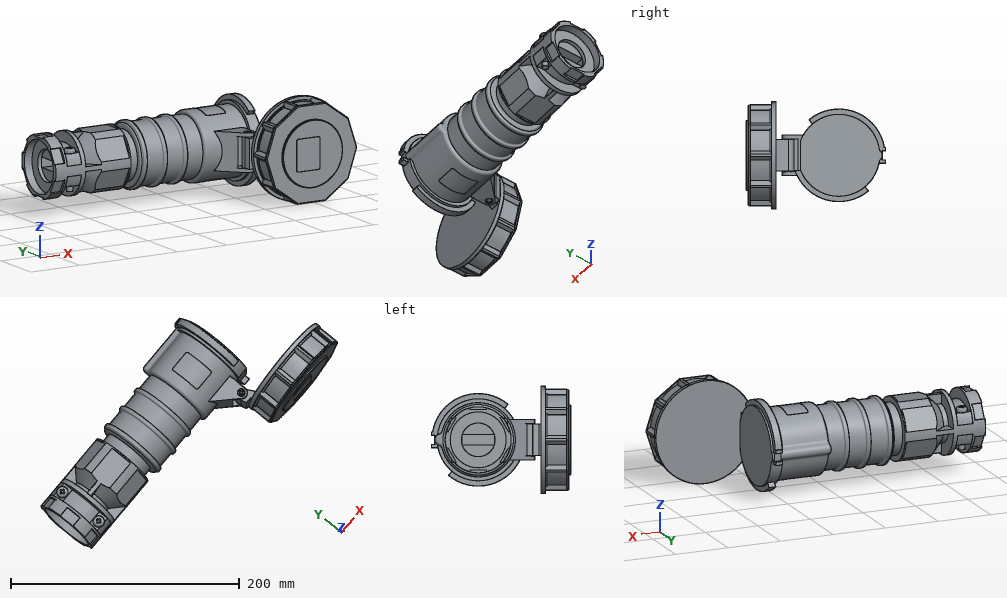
import cadquery as cq
import math


gland_length = 76.6
gland_radius = 29.0
entry_radius, entry_depth = 24.5, 7.8
cable_radius, cable_depth = 14.7, 11.5
slit_height, slit_width = 9.5, 28.3
pocket_count = 6
pocket_length, pocket_floor_radius, pocket_width = 9.7, 26.5, 14.5
clamp_start, clamp_end = 12.0, 26.5
clamp_relief = 0.3
window_half_height = 4.7
pad_height = 14.7
strap_half_width, strap_crown = 15.3, 19.0
waist_start, waist_cone_start, waist_cone_end = 30.5, 35.3, 46.7
waist_radius = 18.0
rib_width = 4.2
flat_count = 6
flat_apothem = 27.0
flat_end = 75.3

screw_x = (clamp_start + clamp_end) / 2
screw_y = 20.5
shank_radius = 2.8
head_radius, head_height, head_round = 5.0, 4.2, 2.2
shank_tip_z = -19.7
cross_length, cross_width, cross_depth = 4.5, 1.5, 1.7

neck_end, neck_radius = 86.5, 23.5
grip_end, grip_radius = 150.0, 29.0
grip_round = 1.7
first_ring_x, ring_pitch, ring_count = 90.8, 20.5, 3
ring_half_width, ring_crest_round, ring_cove = 2.0, 0.8, 1.0

socket_end, socket_radius, socket_round = 207.0, 32.5, 2.8
rim_start, rim_radius = 196.0, 35.8
rim_flat_y = -33.3
lug_start, lug_end, lug_radius = 198.5, 205.0, 40.5
lug_first_angle, lug_last_angle = 10, 130
key_radius, key_center_y, key_blend = 5.0, 33.0, 4.2
horn_top_y, horn_width, horn_gap = 40.8, 14.0, 7.8
label_x, label_length, label_width = 172.5, 20.5, 28.5
label_round, label_depth = 1.7, 0.15

pin_x, pin_y = 186.5, -44.2
pin_radius = 2.2
pin_recess_radius, pin_recess_depth = 3.3, 1.0
pin_hex_sides, pin_hex_size, pin_hex_depth = 6, 2.5, 1.5
bracket_radius = 5.3
bracket_width = 35.5
clevis_width, clevis_start_x, clevis_floor_y = 28.3, 177.5, -35.5

lid_x = 230.8
lid_top_y = -54.7
flange_thickness, flange_radius = 4.0, 47.0
lid_body_end_y = -79.1
lid_panel_radius = 42.8
lid_collar_length, lid_collar_radius = 1.7, 44.0
lid_rib_count, lid_rib_radius = 10, 46.5
lid_rib_crest_width, lid_rib_foot_width = 2.2, 7.8
lid_face_thickness, lid_face_chamfer = 2.2, 0.8
boss_end_y, boss_radius, boss_chamfer = -81.0, 30.5, 0.5
badge_x, badge_length, badge_height = 226.3, 23.5, 29.5
badge_round, badge_depth = 1.7, 0.5
arm_width = 27.8
knuckle_radius = 5.0
arm_foot_start_x, arm_foot_end_x = 188.5, 197.0
arm_heel_x, arm_heel_y = 183.0, -53.0
arm_back_x, arm_back_y = 181.5, -48.0


def x_cylinder(radius, start, end):
    return cq.Workplane("YZ", origin=(start, 0, 0)).circle(radius).extrude(end - start)


def x_box(start, end, width, height, y=0, z=0):
    """Box from start to end along X, centred on y and z."""
    return cq.Workplane("YZ", origin=(start, y, z)).rect(width, height).extrude(end - start)


def z_cylinder(x, y, radius, bottom, top):
    return cq.Workplane("XY", origin=(x, y, bottom)).circle(radius).extrude(top - bottom)


def turned(profile):
    """Revolve an (X, radius) outline about the X axis."""
    return profile.close().revolve(360, (0, 0, 0), (1, 0, 0))


def make_clamp_section():
    """Cable clamp: flat screw pads on either side of an arched strap, above and below."""
    outer = 2 * gland_radius
    outline = (
        cq.Workplane("YZ", origin=(clamp_start, 0, 0))
        .moveTo(-outer, pad_height)
        .lineTo(-strap_half_width, pad_height)
        .threePointArc((0, strap_crown), (strap_half_width, pad_height))
        .lineTo(outer, pad_height)
        .lineTo(outer, -pad_height)
        .lineTo(strap_half_width, -pad_height)
        .threePointArc((0, -strap_crown), (-strap_half_width, -pad_height))
        .lineTo(-outer, -pad_height)
        .close()
        .extrude(clamp_end - clamp_start)
    )
    round_bar = x_cylinder(gland_radius - clamp_relief, clamp_start, clamp_end)
    rail = x_box(clamp_start, clamp_end, outer, 2 * window_half_height)
    rail = rail.intersect(x_cylinder(gland_radius, clamp_start, clamp_end))
    return outline.intersect(round_bar).union(rail)


def make_waist():
    """Waist with a cone behind it and four ribs, running into the wrench flats."""
    waist = turned(
        cq.Workplane("XY")
        .moveTo(waist_start, 0)
        .lineTo(waist_start, waist_radius)
        .lineTo(waist_cone_start, waist_radius)
        .lineTo(waist_cone_end, gland_radius)
        .lineTo(gland_length, gland_radius)
        .lineTo(gland_length, 0)
    )
    full_round = x_cylinder(gland_radius, waist_start, waist_cone_end)
    for width, height in ((2 * gland_radius, rib_width), (rib_width, 2 * gland_radius)):
        rib = x_box(waist_start, waist_cone_end, width, height)
        waist = waist.union(rib.intersect(full_round))
    hexagon = cq.Workplane("YZ", origin=(waist_start, 0, 0)).polygon(
        flat_count, 2 * flat_apothem, circumscribed=True
    )
    hexagon = hexagon.extrude(flat_end - waist_start).rotate((0, 0, 0), (1, 0, 0), 180 / flat_count)
    end_band = x_cylinder(gland_radius, flat_end, gland_length)
    return waist.intersect(hexagon.union(end_band))


def make_gland():
    gland = x_cylinder(gland_radius, 0, clamp_start)
    pocket_depth = gland_radius - pocket_floor_radius
    for index in range(pocket_count):
        pocket = x_box(0, pocket_length, pocket_width, 2 * pocket_depth, z=gland_radius)
        pocket = pocket.cut(x_cylinder(pocket_floor_radius, 0, pocket_length))
        gland = gland.cut(pocket.rotate((0, 0, 0), (1, 0, 0), index * 360 / pocket_count))
    gland = gland.union(make_clamp_section())
    gland = gland.union(x_cylinder(gland_radius, clamp_end, waist_start))
    gland = gland.union(make_waist())
    gland = gland.cut(x_cylinder(entry_radius, 0, entry_depth))
    gland = gland.cut(x_cylinder(cable_radius, 0, cable_depth))
    gland = gland.cut(x_box(cable_depth, gland_length, slit_width, slit_height))
    for side in (-1, 1):
        gland = gland.cut(z_cylinder(screw_x, side * screw_y, shank_radius, shank_tip_z, pad_height))
    return gland


def make_screw(y):
    head_top = pad_height + head_height
    head = z_cylinder(screw_x, y, head_radius, pad_height, head_top)
    head = head.faces(">Z").edges().fillet(head_round)
    bar = cq.Workplane("XY", origin=(screw_x, y, head_top)).rect(cross_length, cross_width)
    bar = bar.extrude(-cross_depth)
    cross = bar.union(bar.rotate((screw_x, y, 0), (screw_x, y, 1), 90))
    shank = z_cylinder(screw_x, y, shank_radius, shank_tip_z, pad_height)
    return head.cut(cross).union(shank)


def quarter_arc(profile, center, radius, start_angle, turn):
    """Add a quarter arc about center that runs from start_angle by turn degrees."""
    points = []
    for angle in (start_angle + turn / 2, start_angle + turn):
        radians = math.radians(angle)
        points.append((center[0] + radius * math.cos(radians), center[1] + radius * math.sin(radians)))
    return profile.threePointArc(*points)


def make_grip_ring(ring_x):
    """Raised ring with a rounded crest and a cove on each side."""
    shoulder = grip_radius + ring_cove
    crest_half_width = ring_half_width - ring_crest_round
    foot_half_width = ring_half_width + ring_cove
    profile = cq.Workplane("XY").moveTo(ring_x - foot_half_width, neck_radius)
    profile = profile.lineTo(ring_x - foot_half_width, grip_radius)
    profile = quarter_arc(profile, (ring_x - foot_half_width, shoulder), ring_cove, -90, 90)
    profile = quarter_arc(profile, (ring_x - crest_half_width, shoulder), ring_crest_round, 180, -90)
    profile = profile.lineTo(ring_x + crest_half_width, shoulder + ring_crest_round)
    profile = quarter_arc(profile, (ring_x + crest_half_width, shoulder), ring_crest_round, 90, -90)
    profile = quarter_arc(profile, (ring_x + foot_half_width, shoulder), ring_cove, 180, 90)
    return turned(profile.lineTo(ring_x + foot_half_width, neck_radius))


def make_grip():
    sleeve = x_cylinder(grip_radius, neck_end, grip_end).faces("<X").edges().fillet(grip_round)
    grip = x_cylinder(neck_radius, gland_length, neck_end).union(sleeve)
    for index in range(ring_count):
        grip = grip.union(make_grip_ring(first_ring_x + index * ring_pitch))
    return grip


def make_lug():
    """Bayonet lug: a sector of the lug ring between two angles measured from +Y."""
    reach = 2 * lug_radius
    middle_angle = (lug_first_angle + lug_last_angle) / 2
    corners = [
        (reach * math.cos(math.radians(angle)), reach * math.sin(math.radians(angle)))
        for angle in (lug_first_angle, middle_angle, lug_last_angle)
    ]
    wedge = (
        cq.Workplane("YZ", origin=(lug_start, 0, 0))
        .polyline([(0, 0), *corners])
        .close()
        .extrude(lug_end - lug_start)
    )
    return wedge.intersect(x_cylinder(lug_radius, lug_start, lug_end))


def make_rim():
    """Rim with two bayonet lugs, flattened on the hinge side."""
    lug = make_lug()
    rim = x_cylinder(rim_radius, rim_start, socket_end)
    rim = rim.union(lug).union(lug.rotate((0, 0, 0), (1, 0, 0), 180))
    flat_half_height = math.sqrt(rim_radius**2 - rim_flat_y**2)
    hinge_side = x_box(rim_start, socket_end, rim_radius, 2 * flat_half_height, y=rim_flat_y - rim_radius / 2)
    return rim.cut(hinge_side)


def make_barrel():
    """Round barrel with a key along its +Y side, blended in by two concave arcs."""
    to_blend = socket_radius + key_blend
    key_to_blend = key_radius + key_blend
    blend_y = (to_blend**2 + key_center_y**2 - key_to_blend**2) / (2 * key_center_y)
    blend_z = math.sqrt(to_blend**2 - blend_y**2)
    barrel_y = blend_y * socket_radius / to_blend
    barrel_z = blend_z * socket_radius / to_blend
    key_y = key_center_y + (blend_y - key_center_y) * key_radius / key_to_blend
    key_z = blend_z * key_radius / key_to_blend
    chord_y = (barrel_y + key_y) / 2 - blend_y
    chord_z = (barrel_z + key_z) / 2 - blend_z
    chord_reach = math.hypot(chord_y, chord_z)
    middle_y = blend_y + key_blend * chord_y / chord_reach
    middle_z = blend_z + key_blend * chord_z / chord_reach
    barrel = (
        cq.Workplane("YZ", origin=(grip_end, 0, 0))
        .moveTo(barrel_y, barrel_z)
        .threePointArc((-socket_radius, 0), (barrel_y, -barrel_z))
        .threePointArc((middle_y, -middle_z), (key_y, -key_z))
        .threePointArc((key_center_y + key_radius, 0), (key_y, key_z))
        .threePointArc((middle_y, middle_z), (barrel_y, barrel_z))
        .close()
        .extrude(socket_end - grip_end)
    )
    return barrel.faces("<X").edges().fillet(socket_round)


def make_horns():
    """Two horns on the key at the rim, with a groove between them."""
    height = horn_top_y - key_center_y
    middle_y = key_center_y + height / 2
    horns = x_box(lug_start, lug_end, height, horn_width, y=middle_y)
    gap_height = height - key_radius
    groove = x_box(lug_start, lug_end, gap_height, horn_gap, y=horn_top_y - gap_height / 2)
    return horns.cut(groove)


def make_bracket():
    """Triangular hinge bracket with a back slanted at 45 degrees, tangent to its round end."""
    root_y = -socket_radius / 2

    def on_round_end(angle):
        radians = math.radians(angle)
        return pin_x + bracket_radius * math.cos(radians), pin_y + bracket_radius * math.sin(radians)

    front_angle, back_angle = 0, -135
    back_x, back_y = on_round_end(back_angle)
    return (
        cq.Workplane("XY", origin=(0, 0, -bracket_width / 2))
        .moveTo(pin_x + bracket_radius, root_y)
        .lineTo(*on_round_end(front_angle))
        .threePointArc(on_round_end((front_angle + back_angle) / 2), (back_x, back_y))
        .lineTo(back_x + back_y - root_y, root_y)
        .close()
        .extrude(bracket_width)
    )


def cut_hinge(socket):
    """Clevis slot for the lid arm, the pin hole and its recesses."""
    slot_end = pin_x + 2 * bracket_radius
    slot_bottom = pin_y - 2 * bracket_radius
    slot = x_box(
        clevis_start_x,
        slot_end,
        clevis_floor_y - slot_bottom,
        clevis_width,
        y=(clevis_floor_y + slot_bottom) / 2,
    )
    half = bracket_width / 2
    socket = socket.cut(slot).cut(z_cylinder(pin_x, pin_y, pin_radius, -half, half))
    for low in (-half, half - pin_recess_depth):
        socket = socket.cut(z_cylinder(pin_x, pin_y, pin_recess_radius, low, low + pin_recess_depth))
    return socket


def cut_labels(socket):
    """Shallow label fields on the top and underside of the barrel."""
    field = cq.Workplane("XY", origin=(label_x, 0, -rim_radius)).rect(label_length, label_width)
    field = field.extrude(2 * rim_radius).edges("|Z").fillet(label_round)
    field = field.cut(x_cylinder(socket_radius - label_depth, grip_end, socket_end))
    return socket.cut(field)


def make_socket():
    socket = cut_labels(make_barrel())
    socket = socket.union(make_horns()).union(make_rim()).union(make_bracket())
    return cut_hinge(socket)


def make_hinge_pin():
    half = bracket_width / 2 - pin_recess_depth
    pin = z_cylinder(pin_x, pin_y, pin_radius, -half, half)
    hex_socket = cq.Workplane("XY", origin=(pin_x, pin_y, half)).polygon(pin_hex_sides, pin_hex_size)
    return pin.cut(hex_socket.extrude(-pin_hex_depth))


def lid_plane(y):
    """Plane facing -Y, centred on the lid axis."""
    return cq.Workplane("XZ", origin=(lid_x, y, 0))


def make_lid_arm():
    """Arm from the knuckle around the hinge pin to the lid flange."""
    arm = (
        cq.Workplane("XY", origin=(0, 0, -arm_width / 2))
        .polyline(
            [
                (pin_x, pin_y),
                (pin_x + knuckle_radius, pin_y),
                (arm_foot_end_x, lid_top_y),
                (arm_foot_start_x, lid_top_y),
                (arm_foot_start_x, arm_heel_y),
                (arm_heel_x, arm_heel_y),
                (arm_back_x, arm_back_y),
            ]
        )
        .close()
        .extrude(arm_width)
    )
    half = arm_width / 2
    arm = arm.union(z_cylinder(pin_x, pin_y, knuckle_radius, -half, half))
    return arm.cut(z_cylinder(pin_x, pin_y, pin_radius, -half, half))


def make_lid_rib(length):
    """Grip rib on the lid wall, tapering from its foot to its crest."""
    foot, crest = lid_rib_foot_width / 2, lid_rib_crest_width / 2
    outline = [
        (0, -foot),
        (lid_panel_radius, -foot),
        (lid_rib_radius, -crest),
        (lid_rib_radius, crest),
        (lid_panel_radius, foot),
        (0, foot),
    ]
    return lid_plane(lid_top_y - flange_thickness).polyline(outline).close().extrude(length)


def make_lid():
    body_start_y = lid_top_y - flange_thickness
    body_length = body_start_y - lid_body_end_y
    lid = lid_plane(lid_top_y).circle(flange_radius).extrude(flange_thickness)
    lid = lid.union(lid_plane(body_start_y).circle(lid_panel_radius).extrude(body_length))
    lid = lid.union(lid_plane(body_start_y).circle(lid_collar_radius).extrude(lid_collar_length))
    face = lid_plane(lid_body_end_y + lid_face_thickness)
    face = face.polygon(lid_rib_count, 2 * lid_rib_radius).extrude(lid_face_thickness)
    lid = lid.union(face.faces("<Y").edges().chamfer(lid_face_chamfer))
    rib = make_lid_rib(body_length - lid_face_thickness)
    for index in range(lid_rib_count):
        lid = lid.union(rib.rotate((lid_x, 0, 0), (lid_x, 1, 0), index * 360 / lid_rib_count))
    boss = lid_plane(lid_body_end_y).circle(boss_radius).extrude(lid_body_end_y - boss_end_y)
    lid = lid.union(boss.faces("<Y").edges().chamfer(boss_chamfer))
    badge = cq.Workplane("XZ", origin=(badge_x, boss_end_y, 0)).rect(badge_length, badge_height)
    badge = badge.extrude(-badge_depth).edges("|Y").fillet(badge_round)
    return lid.cut(badge).union(make_lid_arm())


gland = make_gland()
screws = [make_screw(side * screw_y) for side in (-1, 1)]
grip = make_grip()
socket = make_socket()
hinge_pin = make_hinge_pin()
lid = make_lid()

result = cq.Compound.makeCompound(
    [
        gland.val(),
        *[screw.val() for screw in screws],
        grip.val(),
        socket.val(),
        hinge_pin.val(),
        lid.val(),
    ]
)